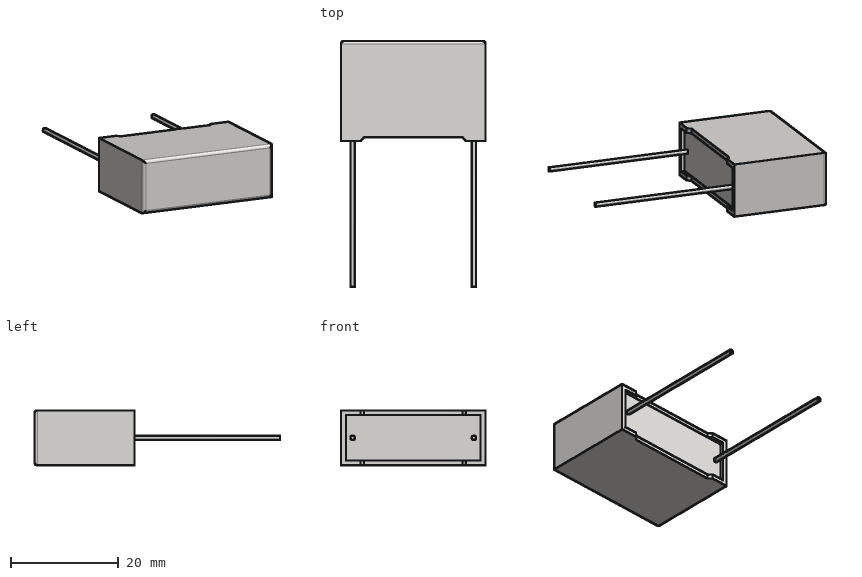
import cadquery as cq

case_width = 26.8
case_height = 10.2
case_length = 18.6
overall_length = 45.6
wall = 0.9
rear_edge_radius = 0.6
notch_depth = 0.7
notch_mouth_width = 19.6
lead_diameter = 0.8
lead_pitch = 22.5

cavity_width = case_width - 2 * wall
cavity_height = case_height - 2 * wall
resin_length = case_length - wall - notch_depth
lead_length = overall_length - case_length + notch_depth
notch_floor_width = notch_mouth_width - 2 * notch_depth


def block(width, length, height, front):
    """Box centred in X and Z that starts at Y = front and runs toward +Y."""
    return cq.Workplane("XY").box(width, length, height, centered=(True, False, True)).translate((0, front, 0))


def rim_notch():
    """Trapezoid cutter that lowers the middle of both long rims."""
    return (
        cq.Workplane("XY")
        .moveTo(-notch_mouth_width / 2, 0)
        .lineTo(-notch_floor_width / 2, notch_depth)
        .lineTo(notch_floor_width / 2, notch_depth)
        .lineTo(notch_mouth_width / 2, 0)
        .close()
        .extrude(case_height / 2, both=True)
    )


def make_case():
    """Open box with rounded edges around its closed end and notched long rims."""
    shell = block(case_width, case_length, case_height, 0).faces(">Y").edges().fillet(rear_edge_radius)
    cavity = block(cavity_width, case_length - wall, cavity_height, 0)
    return shell.cut(cavity).cut(rim_notch())


def make_resin():
    """Potting that fills the cavity up to the notch floors."""
    return block(cavity_width, resin_length, cavity_height, notch_depth)


def make_lead(x):
    """Straight round wire standing on the resin face and pointing toward -Y."""
    wire = cq.Workplane("XZ").circle(lead_diameter / 2).extrude(lead_length)
    return wire.translate((x, notch_depth, 0))


case = make_case()
resin = make_resin()
leads = [make_lead(side * lead_pitch / 2) for side in (-1, 1)]

result = cq.Compound.makeCompound([case.val(), resin.val(), *[lead.val() for lead in leads]])